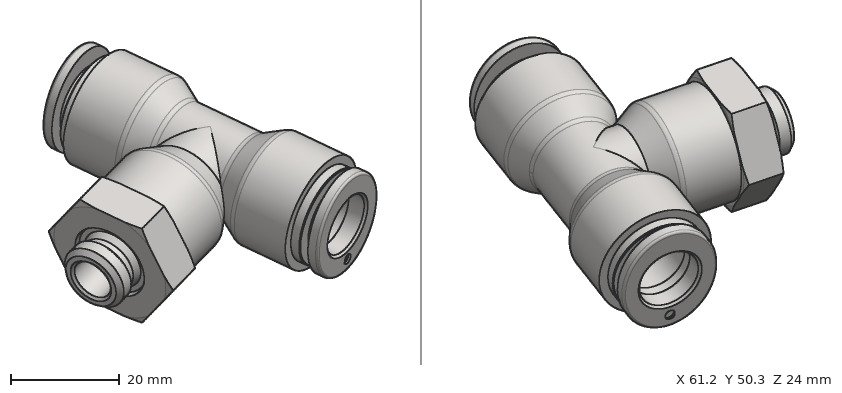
import cadquery as cq
import math

outer_length = 61.2
outer_depth = 50.3

body_diameter = 23.2
waist_diameter = 17.45
arm_length = 24.65
cone_outer = 12.7
cone_angle = 30.0
blend_radius = 2.0
run_bore_diameter = 10.0
tube_diameter = 12.2
socket_end = 12.7

collar_diameter = 19.6
collar_length = 2.0
collar_chamfer = 0.2

sleeve_end = outer_length / 2
flange_width = 19.6
flange_height = 22.45
flange_thickness = 2.15
flange_rounding = 0.5
sleeve_neck_diameter = 14.2
sleeve_mouth_diameter = 13.15
mark_diameter = 2.0
mark_depth = 0.5
mark_drop = 8.5

hex_across_flats = 24.0
hex_length = 7.95
hex_corner_diameter = 24.85
hex_corner_angle = 15.0
fitting_bore_diameter = 8.0
fitting_mouth_diameter = 9.05
fitting_reach = outer_depth - body_diameter / 2
thread_diameter = 13.15
thread_root_diameter = 11.2
thread_length = 4.05
thread_tip_length = 1.1
thread_rear_angle = 30.0
groove_mouth_diameter = 15.35
groove_floor_diameter = 14.8
groove_depth = 1.0
flare_diameter = 12.5
flare_height = 0.55

pick_tolerance = 0.05

hex_start = arm_length
hex_end = hex_start + hex_length


def revolve_x(points):
    """Solid of revolution about X from (x, radius) points."""
    return cq.Workplane("XY").polyline(points).close().revolve(360, (0, 0, 0), (1, 0, 0))


def to_branch(shape):
    """Turn a shape lying along +X so that it lies along -Y."""
    return shape.rotate((0, 0, 0), (0, 0, 1), -90)


def both_ends(shape):
    """The +X shape and its mirror image at the -X end."""
    return [shape, shape.mirror("YZ")]


def circle_at(x):
    """Selector of the circular edge whose centre lies at x on the X axis."""
    reach = pick_tolerance
    return cq.selectors.BoxSelector((x - reach, -reach, -reach), (x + reach, reach, reach))


def arm_outline(blend_waist):
    """One arm of the tee along +X: waist, cone and end cylinder; the waist edge is rounded on request."""
    waist_r = waist_diameter / 2
    body_r = body_diameter / 2
    cone_inner = cone_outer - (body_r - waist_r) / math.tan(math.radians(cone_angle))
    arm = revolve_x([
        (0, 0),
        (0, waist_r),
        (cone_inner, waist_r),
        (cone_outer, body_r),
        (arm_length, body_r),
        (arm_length, 0),
    ])
    blended = [cone_outer, cone_inner] if blend_waist else [cone_outer]
    for x in blended:
        arm = arm.edges(circle_at(x)).fillet(blend_radius)
    return arm


def make_body():
    """Tee of two arms along X and a branch along -Y, bored through, with a tube socket at each X end."""
    run_arm = arm_outline(True)
    body = run_arm.union(run_arm.mirror("YZ")).union(to_branch(arm_outline(False)))
    run_bore = cq.Workplane("YZ").circle(run_bore_diameter / 2).extrude(arm_length, both=True)
    branch_bore = cq.Workplane("XZ").circle(fitting_bore_diameter / 2).extrude(arm_length)
    socket = cq.Workplane("YZ", origin=(socket_end, 0, 0)).circle(tube_diameter / 2)
    socket = socket.extrude(arm_length - socket_end)
    body = body.cut(run_bore).cut(branch_bore)
    for end_socket in both_ends(socket):
        body = body.cut(end_socket)
    return body


def make_collar():
    """Retaining ring on the +X end face of the body."""
    collar = cq.Workplane("YZ", origin=(arm_length, 0, 0)).circle(collar_diameter / 2)
    collar = collar.extrude(collar_length).faces(">X").edges().chamfer(collar_chamfer)
    return collar.faces(">X").workplane().hole(tube_diameter)


def make_sleeve():
    """Release sleeve at the +X end: oval flange, neck, tube bore and dimple."""
    flange = cq.Workplane("YZ", origin=(sleeve_end, 0, 0))
    flange = flange.ellipse(flange_width / 2, flange_height / 2).extrude(-flange_thickness)
    flange = flange.faces(">X").edges().fillet(flange_rounding)
    neck_start = arm_length + collar_length
    neck = cq.Workplane("YZ", origin=(neck_start, 0, 0)).circle(sleeve_neck_diameter / 2)
    neck = neck.extrude(sleeve_end - flange_thickness - neck_start)
    mouth_r = sleeve_mouth_diameter / 2
    tube_r = tube_diameter / 2
    bore = revolve_x([
        (neck_start, 0),
        (neck_start, tube_r),
        (sleeve_end - (mouth_r - tube_r), tube_r),
        (sleeve_end, mouth_r),
        (sleeve_end, 0),
    ])
    mark = cq.Workplane("YZ", origin=(sleeve_end, 0, -mark_drop))
    mark = mark.circle(mark_diameter / 2).extrude(-mark_depth)
    return flange.union(neck).cut(bore).cut(mark)


def make_hexagon():
    """Hexagon along +X with two corners on the Y axis and both ends chamfered."""
    corner_diameter = hex_across_flats / math.cos(math.pi / 6)
    hexagon = cq.Workplane("YZ", origin=(hex_start, 0, 0)).polygon(6, corner_diameter)
    hexagon = hexagon.extrude(hex_length)
    corner_r = corner_diameter / 2
    face_r = hex_corner_diameter / 2
    drop = (corner_r - face_r) * math.tan(math.radians(hex_corner_angle))
    envelope = revolve_x([
        (hex_start, 0),
        (hex_start, face_r),
        (hex_start + drop, corner_r),
        (hex_end - drop, corner_r),
        (hex_end, face_r),
        (hex_end, 0),
    ])
    return hexagon.intersect(envelope)


def make_fitting():
    """Threaded fitting, built along +X and then turned onto the branch."""
    thread_r = thread_diameter / 2
    root_r = thread_root_diameter / 2
    floor_r = groove_floor_diameter / 2
    bore_r = fitting_bore_diameter / 2
    mouth_r = fitting_mouth_diameter / 2
    thread_start = fitting_reach - thread_length
    rear_shoulder = (thread_r - root_r) * math.tan(math.radians(thread_rear_angle))
    groove_floor = hex_end - groove_depth

    groove = revolve_x([
        (groove_floor, 0),
        (groove_floor, floor_r),
        (hex_end, groove_mouth_diameter / 2),
        (hex_end, 0),
    ])
    spigot = revolve_x([
        (groove_floor, 0),
        (groove_floor, flare_diameter / 2),
        (hex_end + flare_height, root_r),
        (thread_start, root_r),
        (thread_start + rear_shoulder, thread_r),
        (fitting_reach - thread_tip_length, thread_r),
        (fitting_reach, root_r),
        (fitting_reach, 0),
    ])
    bore = revolve_x([
        (hex_start, 0),
        (hex_start, bore_r),
        (fitting_reach - (mouth_r - bore_r), bore_r),
        (fitting_reach, mouth_r),
        (fitting_reach, 0),
    ])
    return to_branch(make_hexagon().cut(groove).union(spigot).cut(bore))


body = make_body()
fitting = make_fitting()
collars = both_ends(make_collar())
sleeves = both_ends(make_sleeve())

result = cq.Compound.makeCompound([
    body.val(),
    fitting.val(),
    *[collar.val() for collar in collars],
    *[sleeve.val() for sleeve in sleeves],
])